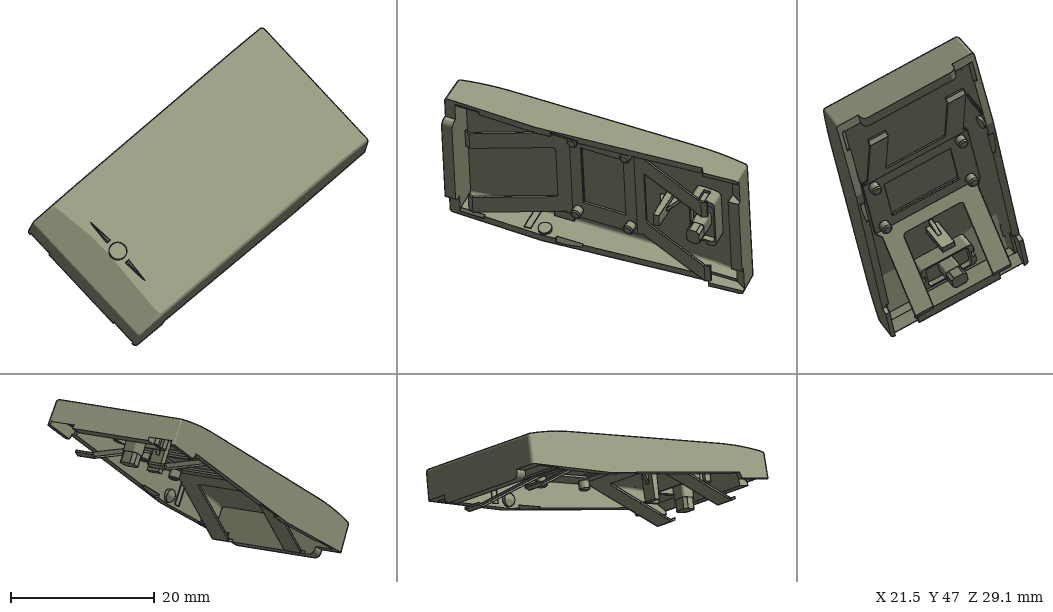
import cadquery as cq
import math

ROLL_ABOUT_Y = 33.1
PITCH_ABOUT_X = 19.7

HALF_WIDTH = 11.15
HALF_LENGTH = 22.3
DRAFT = 1.5
BASE_DEPTH = 7.5
FLAT_HALF_LENGTH = 14.0
END_DROP = 0.8
EDGE_RADIUS = 0.5
TOP_THICKNESS = 1.15
INNER_HALF_WIDTH = 10.05
INNER_HALF_LENGTH = 20.72
CEILING_FILLET = 0.4

RIM_BACK_Z = -5.2
RIM_LOW_Y = 8.1
RIM_LOW_Z = -5.65
RIM_STEP_Y = -16.7
RIM_STEP_Z = -4.07
RIM_HEEL_Y = -17.1
RIM_HEEL_Z = -4.95
RIM_FRONT_Z = -4.63

BACK_TONGUE_HALF_WIDTH = 7.6
BACK_TONGUE_DEPTH = 1.3
BACK_TONGUE_RADIUS = 0.9

FRONT_TONGUE_HALF_WIDTH = 6.6
RELIEF_HALF_WIDTH = 10.5
RELIEF_OVERLAP = 1.0
RELIEF_START_Y = -16.4
RELIEF_TOP_Z = -3.2
BEVEL_INNER_RISE = 1.5
BEVEL_OUTER_RISE = 0.5

RIM_CHAMFERS = (
    (2.0, 6.0, 0.75, -5.05),
    (17.0, INNER_HALF_LENGTH, 0.5, -5.0),
)

RIB_Y = 10.5
RIB_WIDTH = 1.0
RIB_PROUD = 0.12
RIB_BOTTOM_Z = -5.1
SNAP_Y = 8.05
SNAP_Z = -4.5
SNAP_RADIUS = 0.95
SNAP_PROUD = 0.5

SPRING_THICKNESS = 0.3
SPRING_BOTTOM_Z = -1.77
SPRING_TOP_Z = SPRING_BOTTOM_Z + SPRING_THICKNESS
PLATE_HALF_WIDTH = 8.5
PLATE_HALF_LENGTH = 4.95
WINDOW_HALF_WIDTH = 5.4
WINDOW_HALF_LENGTH = 3.27
ARM_OUTER = 7.75
ARM_INNER = 4.85
ARM_SLOPE = 0.43
ARM_FLARE_Y = 5.9
ARM_ROOT_Y = 6.75
ARM_BEND_Y = 17.75
ARM_END_Y = 18.5
TIP_SLOPE = 0.4
SLOT_CORNER_RADIUS = 0.5
PIN_X = 7.02
PIN_Y = 4.02
PIN_RADIUS = 0.75
PIN_BOTTOM_Z = -3.07
PIN_CHAMFER = 0.2
SEAT_INNER_Y = 3.3
SEAT_HALF_WIDTH = 8.4

PAD_INNER_X = 8.7
PAD_END_Y = 8.0

POST_Y = -10.0
POST_HALF_WIDTH = 1.0
POST_TOP_HALF_THICKNESS = 0.53
POST_END_HALF_THICKNESS = 0.42
POST_BOTTOM_Z = -5.9
WING_REACH = 1.5
WING_DEPTH_Z = -3.65
WING_HALF_THICKNESS = 0.3

INDICATOR_Y = -16.07
SOCKET_LENGTH_X = 8.5
SOCKET_WIDTH_Y = 3.9
SOCKET_CEILING_Z = -1.35
SOCKET_BOTTOM_Z = -3.7
SOCKET_RADIUS = 0.75
SOCKET_SIDE_WALL = 0.2
SOCKET_END_WALL = 0.8
DIFFUSER_RECESS = 0.85
NOTCH_WIDTH = 1.0
NOTCH_DEPTH = 0.5
NOTCH_TOP_Z = -1.7
LENS_RADIUS = 1.25
LENS_PROUD_Z = 0.22
COLUMN_LENGTH_X = 2.4
COLUMN_WIDTH_Y = 1.95
COLUMN_RADIUS = 0.4
COLUMN_SPLIT_Z = -5.3
PIPE_BOTTOM_Z = -6.95
PIPE_CHAMFER = 0.45

POINTER_INNER_X = 1.9
POINTER_OUTER_X = 5.6
POINTER_HALF_WIDTH = 0.33
POINTER_DEPTH = 0.3

TOP_ARC_RADIUS = ((HALF_LENGTH - FLAT_HALF_LENGTH) ** 2 + END_DROP**2) / (2 * END_DROP)
OVERRUN = 5.0
CUT_DEPTH = BASE_DEPTH + OVERRUN


def box(x0, x1, y0, y1, z0, z1):
    return cq.Workplane("XY").box(x1 - x0, y1 - y0, z1 - z0, centered=False).translate((x0, y0, z0))


def lengthwise(points, x0, x1):
    """Extrude an outline of (Y, Z) points from X = x0 to x1."""
    return cq.Workplane("YZ").polyline(points).close().extrude(x1 - x0).translate((x0, 0, 0))


def crosswise(points, y0, y1):
    """Extrude an outline of (X, Z) points from Y = y0 to y1."""
    return cq.Workplane("XZ").polyline(points).close().extrude(y0 - y1).translate((0, y0, 0))


def crowned_block(half_width, half_length, depth):
    """A block whose top lies the given depth below the crowned face of the cover."""
    radius = TOP_ARC_RADIUS - depth

    def arc_point(y):
        run = abs(y) - FLAT_HALF_LENGTH
        return y, math.sqrt(radius**2 - run**2) - TOP_ARC_RADIUS

    middle = (FLAT_HALF_LENGTH + half_length) / 2
    return (
        cq.Workplane("YZ")
        .moveTo(-half_length, -BASE_DEPTH)
        .lineTo(half_length, -BASE_DEPTH)
        .lineTo(*arc_point(half_length))
        .threePointArc(arc_point(middle), (FLAT_HALF_LENGTH, -depth))
        .lineTo(-FLAT_HALF_LENGTH, -depth)
        .threePointArc(arc_point(-middle), arc_point(-half_length))
        .close()
        .extrude(half_width, both=True)
    )


def cover_blank():
    base_gain = (BASE_DEPTH + RIM_BACK_Z) * math.tan(math.radians(DRAFT))
    drafted = (
        cq.Workplane("XY", origin=(0, 0, -BASE_DEPTH))
        .rect(2 * (HALF_WIDTH + base_gain), 2 * (HALF_LENGTH + base_gain))
        .extrude(BASE_DEPTH + OVERRUN, taper=DRAFT)
        .edges("not (|X or |Y)")
        .fillet(EDGE_RADIUS)
    )
    crowned = crowned_block(HALF_WIDTH + OVERRUN, HALF_LENGTH + base_gain, 0)
    blank = drafted.intersect(crowned)
    upper_region = cq.selectors.BoxSelector(
        (-HALF_WIDTH, -HALF_LENGTH, -END_DROP), (HALF_WIDTH, HALF_LENGTH, END_DROP)
    )
    return blank.faces(upper_region).edges().fillet(EDGE_RADIUS)


def cavity():
    block = crowned_block(INNER_HALF_WIDTH, INNER_HALF_LENGTH, TOP_THICKNESS)
    ceiling_sides = block.edges(">X or <X").edges("not |Z").edges("not <Z")
    return ceiling_sides.fillet(CEILING_FILLET)


def rim_waste():
    """Everything below the rim, except the tongue that hangs from the back wall."""
    outer_y = HALF_LENGTH + OVERRUN
    floor_z = -CUT_DEPTH
    waste = lengthwise(
        [
            (-outer_y, floor_z),
            (outer_y, floor_z),
            (outer_y, RIM_BACK_Z),
            (HALF_LENGTH, RIM_BACK_Z),
            (RIM_LOW_Y, RIM_LOW_Z),
            (RIM_STEP_Y, RIM_STEP_Z),
            (RIM_HEEL_Y, RIM_HEEL_Z),
            (-HALF_LENGTH, RIM_FRONT_Z),
            (-outer_y, RIM_FRONT_Z),
        ],
        -HALF_WIDTH - OVERRUN,
        HALF_WIDTH + OVERRUN,
    )
    tongue = box(
        -BACK_TONGUE_HALF_WIDTH,
        BACK_TONGUE_HALF_WIDTH,
        INNER_HALF_LENGTH,
        outer_y,
        RIM_BACK_Z - BACK_TONGUE_DEPTH,
        0,
    )
    return waste.cut(tongue.edges("|Y and <Z").fillet(BACK_TONGUE_RADIUS))


def front_relief(side):
    """Thinned side wall and bevelled front wall at one front corner."""
    pocket = box(
        INNER_HALF_WIDTH - RELIEF_OVERLAP,
        RELIEF_HALF_WIDTH,
        -INNER_HALF_LENGTH,
        RELIEF_START_Y,
        -BASE_DEPTH,
        RELIEF_TOP_Z,
    )
    bevel = lengthwise(
        [
            (-INNER_HALF_LENGTH, -BASE_DEPTH),
            (-INNER_HALF_LENGTH, RIM_FRONT_Z + BEVEL_INNER_RISE),
            (-HALF_LENGTH, RIM_FRONT_Z + BEVEL_OUTER_RISE),
            (-HALF_LENGTH - OVERRUN, RIM_FRONT_Z + BEVEL_OUTER_RISE),
            (-HALF_LENGTH - OVERRUN, -BASE_DEPTH),
        ],
        FRONT_TONGUE_HALF_WIDTH,
        RELIEF_HALF_WIDTH,
    )
    relief = pocket.union(bevel)
    return relief if side > 0 else relief.mirror("YZ")


def rim_chamfer(side, start_y, end_y, width, top_z):
    drop = width / 2
    outline = [
        (side * INNER_HALF_WIDTH, top_z),
        (side * (INNER_HALF_WIDTH + width), top_z - drop),
        (side * (INNER_HALF_WIDTH + width), -BASE_DEPTH),
        (side * INNER_HALF_WIDTH, -BASE_DEPTH),
    ]
    return crosswise(outline, start_y, end_y)


def wall_rib(side):
    rib = box(
        INNER_HALF_WIDTH - RIB_PROUD,
        INNER_HALF_WIDTH + RIB_PROUD,
        RIB_Y - RIB_WIDTH / 2,
        RIB_Y + RIB_WIDTH / 2,
        RIB_BOTTOM_Z,
        -TOP_THICKNESS,
    )
    return rib if side > 0 else rib.mirror("YZ")


def snap_boss(side):
    """Round boss on a side wall, its lower half sloped as a lead-in."""
    inner_x = INNER_HALF_WIDTH - SNAP_PROUD
    boss = (
        cq.Workplane("YZ", origin=(inner_x, SNAP_Y, SNAP_Z)).circle(SNAP_RADIUS).extrude(2 * SNAP_PROUD)
    )
    lead_in = crosswise(
        [
            (inner_x, SNAP_Z),
            (INNER_HALF_WIDTH, SNAP_Z - 2 * SNAP_RADIUS),
            (inner_x, SNAP_Z - 2 * SNAP_RADIUS),
        ],
        SNAP_Y - SNAP_RADIUS,
        SNAP_Y + SNAP_RADIUS,
    )
    boss = boss.cut(lead_in)
    return boss if side > 0 else boss.mirror("YZ")


def spring_seat(end):
    seat = box(
        -SEAT_HALF_WIDTH,
        SEAT_HALF_WIDTH,
        SEAT_INNER_Y,
        PLATE_HALF_LENGTH,
        SPRING_TOP_Z,
        -TOP_THICKNESS,
    )
    return seat if end > 0 else seat.mirror("XZ")


def pin_points():
    return [(x, y) for x in (-PIN_X, PIN_X) for y in (-PIN_Y, PIN_Y)]


def pins():
    return (
        cq.Workplane("XY", origin=(0, 0, PIN_BOTTOM_Z))
        .pushPoints(pin_points())
        .circle(PIN_RADIUS)
        .extrude(-TOP_THICKNESS - PIN_BOTTOM_Z)
        .faces("<Z")
        .chamfer(PIN_CHAMFER)
    )


def support_pad():
    return box(
        PAD_INNER_X, INNER_HALF_WIDTH, PLATE_HALF_LENGTH, PAD_END_Y, SPRING_TOP_Z, -TOP_THICKNESS
    )


def stop_post():
    """Tapered post with a triangular wing on its front and back."""
    post = lengthwise(
        [
            (POST_Y - POST_TOP_HALF_THICKNESS, -TOP_THICKNESS),
            (POST_Y + POST_TOP_HALF_THICKNESS, -TOP_THICKNESS),
            (POST_Y + POST_END_HALF_THICKNESS, POST_BOTTOM_Z),
            (POST_Y - POST_END_HALF_THICKNESS, POST_BOTTOM_Z),
        ],
        -POST_HALF_WIDTH,
        POST_HALF_WIDTH,
    )
    wings = lengthwise(
        [
            (POST_Y - WING_REACH, -TOP_THICKNESS),
            (POST_Y + WING_REACH, -TOP_THICKNESS),
            (POST_Y + POST_END_HALF_THICKNESS, WING_DEPTH_Z),
            (POST_Y - POST_END_HALF_THICKNESS, WING_DEPTH_Z),
        ],
        -WING_HALF_THICKNESS,
        WING_HALF_THICKNESS,
    )
    return post.union(wings)


def indicator_prism(length_x, width_y, bottom_z, top_z):
    return (
        cq.Workplane("XY", origin=(0, INDICATOR_Y, bottom_z))
        .rect(length_x, width_y)
        .extrude(top_z - bottom_z)
    )


def socket_outer():
    block = indicator_prism(SOCKET_LENGTH_X, SOCKET_WIDTH_Y, SOCKET_BOTTOM_Z, -TOP_THICKNESS)
    return block.edges("|Z").fillet(SOCKET_RADIUS)


def socket_inner(bottom_z):
    block = indicator_prism(
        SOCKET_LENGTH_X - 2 * SOCKET_END_WALL,
        SOCKET_WIDTH_Y - 2 * SOCKET_SIDE_WALL,
        bottom_z,
        SOCKET_CEILING_Z,
    )
    return block.edges("|Z").fillet(SOCKET_RADIUS - SOCKET_SIDE_WALL)


def socket_notch(side):
    """Shallow notch in the outside of one end wall of the socket, open at the bottom."""
    end_x = SOCKET_LENGTH_X / 2
    notch = box(
        end_x - NOTCH_DEPTH,
        end_x,
        INDICATOR_Y - NOTCH_WIDTH / 2,
        INDICATOR_Y + NOTCH_WIDTH / 2,
        SOCKET_BOTTOM_Z,
        NOTCH_TOP_Z,
    )
    return notch if side > 0 else notch.mirror("YZ")


def lens_head():
    return (
        cq.Workplane("XY", origin=(0, INDICATOR_Y, SOCKET_CEILING_Z))
        .circle(LENS_RADIUS)
        .extrude(LENS_PROUD_Z - SOCKET_CEILING_Z)
    )


def lens_column():
    column = indicator_prism(COLUMN_LENGTH_X, COLUMN_WIDTH_Y, COLUMN_SPLIT_Z, SOCKET_CEILING_Z)
    return column.edges("|Z").fillet(COLUMN_RADIUS)


def pointer(side):
    """Engraved V groove that narrows to a point away from the lens."""
    mid_y = INDICATOR_Y
    surface_z = -((abs(mid_y) - FLAT_HALF_LENGTH) ** 2) / (2 * TOP_ARC_RADIUS)
    profile = [
        (mid_y - POINTER_HALF_WIDTH, surface_z + POINTER_DEPTH),
        (mid_y - POINTER_HALF_WIDTH, surface_z),
        (mid_y, surface_z - POINTER_DEPTH),
        (mid_y + POINTER_HALF_WIDTH, surface_z),
        (mid_y + POINTER_HALF_WIDTH, surface_z + POINTER_DEPTH),
    ]
    groove = lengthwise(profile, POINTER_INNER_X, POINTER_OUTER_X)
    plan = (
        cq.Workplane("XY", origin=(0, mid_y, -OVERRUN))
        .polyline(
            [
                (POINTER_INNER_X, -POINTER_HALF_WIDTH),
                (POINTER_OUTER_X, 0),
                (POINTER_INNER_X, POINTER_HALF_WIDTH),
            ]
        )
        .close()
        .extrude(2 * OVERRUN)
    )
    groove = groove.intersect(plan)
    return groove if side > 0 else groove.mirror("YZ")


def make_cover():
    cover = cover_blank().cut(cavity())
    for end in (-1, 1):
        cover = cover.union(spring_seat(end))
    for side in (-1, 1):
        cover = cover.union(wall_rib(side)).union(snap_boss(side))
    cover = cover.cut(rim_waste())
    for side in (-1, 1):
        cover = cover.cut(front_relief(side)).cut(pointer(side))
        for chamfer in RIM_CHAMFERS:
            cover = cover.cut(rim_chamfer(side, *chamfer))
    cover = cover.union(pins()).union(support_pad()).union(stop_post()).union(socket_outer())
    for side in (-1, 1):
        cover = cover.cut(socket_notch(side))
    return cover.cut(socket_inner(SOCKET_BOTTOM_Z)).cut(lens_head())


def arm_z(y):
    """Height of the underside of the spring at a distance y from its middle."""
    if y <= PLATE_HALF_LENGTH:
        return SPRING_BOTTOM_Z
    drop = ARM_SLOPE * (min(y, ARM_BEND_Y) - PLATE_HALF_LENGTH)
    rise = TIP_SLOPE * max(0, y - ARM_BEND_Y)
    return SPRING_BOTTOM_Z - drop + rise


def make_spring():
    bends = [-ARM_END_Y, -ARM_BEND_Y, -PLATE_HALF_LENGTH, PLATE_HALF_LENGTH, ARM_BEND_Y, ARM_END_Y]
    under = [(y, arm_z(abs(y))) for y in bends]
    over = [(y, z + SPRING_THICKNESS) for y, z in reversed(under)]
    strip = lengthwise(under + over, -PLATE_HALF_WIDTH, PLATE_HALF_WIDTH)
    window = box(
        -WINDOW_HALF_WIDTH,
        WINDOW_HALF_WIDTH,
        -WINDOW_HALF_LENGTH,
        WINDOW_HALF_LENGTH,
        -CUT_DEPTH,
        0,
    )
    strip = strip.cut(window)
    slot = box(-ARM_INNER, ARM_INNER, ARM_ROOT_Y, ARM_END_Y + OVERRUN, -CUT_DEPTH, 0)
    slot = slot.edges("|Z and <Y").fillet(SLOT_CORNER_RADIUS)
    flare = (
        cq.Workplane("XY", origin=(0, 0, -CUT_DEPTH))
        .polyline(
            [
                (PLATE_HALF_WIDTH, PLATE_HALF_LENGTH),
                (ARM_OUTER, ARM_FLARE_Y),
                (ARM_OUTER, ARM_END_Y + OVERRUN),
                (PLATE_HALF_WIDTH + OVERRUN, ARM_END_Y + OVERRUN),
                (PLATE_HALF_WIDTH + OVERRUN, PLATE_HALF_LENGTH),
            ]
        )
        .close()
        .extrude(CUT_DEPTH)
    )
    trim = slot.union(flare).union(flare.mirror("YZ"))
    pin_holes = (
        cq.Workplane("XY", origin=(0, 0, -CUT_DEPTH))
        .pushPoints(pin_points())
        .circle(PIN_RADIUS)
        .extrude(CUT_DEPTH)
    )
    return strip.cut(trim).cut(trim.mirror("XZ")).cut(pin_holes)


def make_lens():
    return lens_head().union(lens_column())


def make_diffuser():
    return socket_inner(SOCKET_BOTTOM_Z + DIFFUSER_RECESS).cut(lens_column())


def make_light_pipe():
    return (
        indicator_prism(COLUMN_LENGTH_X, COLUMN_WIDTH_Y, PIPE_BOTTOM_Z, COLUMN_SPLIT_Z)
        .edges("|Z")
        .chamfer(PIPE_CHAMFER)
    )


def install(body):
    turned = body.rotate((0, 0, 0), (0, 1, 0), ROLL_ABOUT_Y)
    return turned.rotate((0, 0, 0), (1, 0, 0), PITCH_ABOUT_X)


bodies = [make_cover(), make_spring(), make_diffuser(), make_lens(), make_light_pipe()]
result = cq.Compound.makeCompound([install(body).val() for body in bodies])